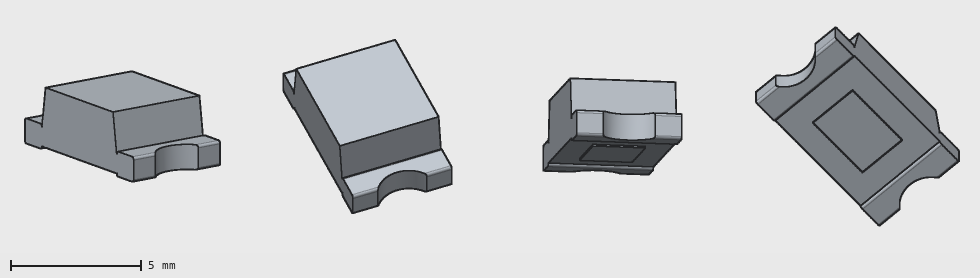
import cadquery as cq

length = 7.1
width = 4.1
height = 2.5

terminal_length = 1.11
terminal_height = 1.0
terminal_thickness = 0.11
terminal_radius = 0.11

notch_half_width = 1.015
notch_depth = 0.55
notch_radius = (notch_half_width**2 + notch_depth**2) / (2 * notch_depth)

lens_base_length = length - 2 * terminal_length
lens_top_length = 4.415

mark_length = 2.84
mark_thickness = 0.065
mark_width = width / 2

board_length = length - 2 * terminal_thickness
board_height = terminal_height - 2 * terminal_thickness
board_top = terminal_thickness + board_height


def make_terminal(side):
    """Rounded end block; side is -1 or 1 along X."""
    center_x = side * (length - terminal_length) / 2
    return (
        cq.Workplane("XY")
        .box(terminal_length, width, terminal_height, centered=(True, True, False))
        .edges("|Y")
        .fillet(terminal_radius)
        .translate((center_x, 0, 0))
    )


def make_notch(side):
    """Vertical cylinder that cuts the end of the part."""
    center_x = side * (length / 2 - notch_depth + notch_radius)
    return cq.Workplane("XY").center(center_x, 0).circle(notch_radius).extrude(terminal_height)


def make_lens():
    """Trapezoid running the full width, standing on the board."""
    return (
        cq.Workplane("XZ")
        .moveTo(-lens_base_length / 2, board_top)
        .lineTo(lens_base_length / 2, board_top)
        .lineTo(lens_top_length / 2, height)
        .lineTo(-lens_top_length / 2, height)
        .close()
        .extrude(width / 2, both=True)
    )


board = (
    cq.Workplane("XY")
    .workplane(offset=terminal_thickness)
    .box(board_length, width, board_height, centered=(True, True, False))
)
mark = (
    cq.Workplane("XY")
    .workplane(offset=terminal_thickness - mark_thickness)
    .box(mark_length, mark_width, mark_thickness, centered=(True, True, False))
)

result = board.union(make_lens()).union(mark)
for end in (-1, 1):
    result = result.union(make_terminal(end)).cut(make_notch(end))